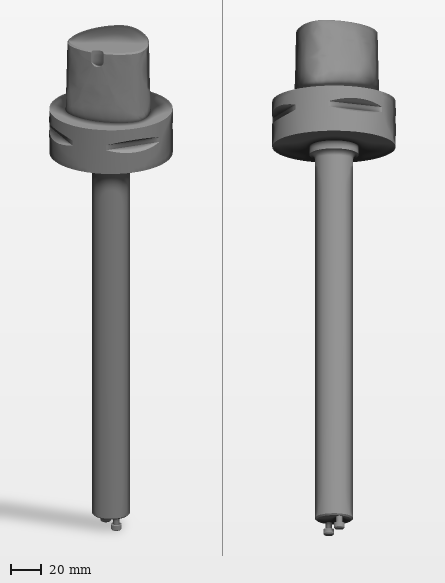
import cadquery as cq
import math

total_height = 336.0
shank_height = 47.7
flange_height = 30.2
collar_height = 5.5
bottom_z = shank_height - total_height
pin_projection = 8.0

flange_diameter = 80.0
collar_diameter = 32.0
bar_diameter = 25.0
neck_fillet = 3.0
bar_chamfer = 1.0

shank_base_radius = 27.5
shank_taper = 1 / 20
lobe_height = 2.0
shank_chamfer = 1.0
outline_points = 48

notch_floor_radius = 4.5
notch_wall_radius = 4.7
notch_axis_y = -26.2
notch_depth = 10.5

groove_count = 4
groove_drop = 12.0
groove_depth = 4.7
groove_floor_height = 3.5
groove_wall_angle = 30.0

pin_offset = 6.0
pin_neck_diameter = 4.0
pin_head_diameter = 7.0
pin_head_height = 3.7
pin_head_chamfer = 0.7


def turned_body():
    """Flange, collar and long bar as one revolved profile."""
    flange_bottom = -flange_height
    collar_bottom = flange_bottom - collar_height
    bar_bottom = bottom_z + pin_projection
    bar_radius = bar_diameter / 2
    flange_radius = flange_diameter / 2
    profile = (
        cq.Workplane("XZ")
        .moveTo(0, 0)
        .lineTo(flange_radius, 0)
        .lineTo(flange_radius, flange_bottom)
        .lineTo(collar_diameter / 2, flange_bottom)
        .lineTo(collar_diameter / 2, collar_bottom)
        .lineTo(bar_radius + neck_fillet, collar_bottom)
        .radiusArc((bar_radius, collar_bottom - neck_fillet), -neck_fillet)
        .lineTo(bar_radius, bar_bottom + bar_chamfer)
        .lineTo(bar_radius - bar_chamfer, bar_bottom)
        .lineTo(0, bar_bottom)
        .close()
    )
    return profile.revolve(360, (0, 0, 0), (0, 1, 0))


def lobed_outline(mean_radius):
    """Constant-width three-lobed curve with one lobe on +Y."""
    points = []
    for i in range(outline_points):
        angle = 2 * math.pi * i / outline_points
        lobe_angle = 3 * (angle - math.pi / 2)
        support = mean_radius + lobe_height * math.cos(lobe_angle)
        slope = -3 * lobe_height * math.sin(lobe_angle)
        x = support * math.cos(angle) - slope * math.sin(angle)
        y = support * math.sin(angle) + slope * math.cos(angle)
        points.append((x, y))
    return points


def lobed_section(z_bottom, radius_bottom, z_top, radius_top):
    """Ruled solid between two lobed outlines."""
    return (
        cq.Workplane("XY", origin=(0, 0, z_bottom))
        .spline(lobed_outline(radius_bottom), periodic=True)
        .close()
        .workplane(offset=z_top - z_bottom)
        .spline(lobed_outline(radius_top), periodic=True)
        .close()
        .loft(ruled=True)
    )


def shank():
    """Tapered shank with a chamfered top rim."""
    chamfer_z = shank_height - shank_chamfer
    rim_radius = shank_base_radius - chamfer_z * shank_taper / 2
    taper = lobed_section(0, shank_base_radius, chamfer_z, rim_radius)
    rim = lobed_section(chamfer_z, rim_radius, shank_height, rim_radius - shank_chamfer)
    return taper.union(rim)


def notch_cutter():
    """Round-bottomed slot along Y whose back wall is an upright cylinder."""
    floor_axis_z = shank_height - notch_depth + notch_floor_radius
    slot_floor = (
        cq.Workplane("XZ", origin=(0, 0, floor_axis_z))
        .circle(notch_floor_radius)
        .extrude(flange_diameter / 2)
    )
    slot_mouth = cq.Workplane("XY", origin=(0, 0, floor_axis_z)).box(
        2 * notch_floor_radius, flange_diameter, notch_depth, centered=(True, True, False)
    )
    back_wall = (
        cq.Workplane("XY", origin=(0, notch_axis_y, shank_height - notch_depth))
        .circle(notch_wall_radius)
        .extrude(notch_depth)
    )
    return slot_floor.union(slot_mouth).intersect(back_wall)


def groove_cutter(direction):
    """Straight trapezoidal groove across the rim, facing the given direction in degrees."""
    outer = flange_diameter / 2
    inner = outer - groove_depth
    floor_half = groove_floor_height / 2
    mouth_half = floor_half + groove_depth * math.tan(math.radians(groove_wall_angle))
    return (
        cq.Workplane("XZ", origin=(0, 0, -groove_drop))
        .polyline([(inner, -floor_half), (outer, -mouth_half), (outer, mouth_half), (inner, floor_half)])
        .close()
        .extrude(flange_diameter / 2, both=True)
        .rotate((0, 0, 0), (0, 0, 1), direction)
    )


def drive_pin(x, y):
    """Headed pin hanging from the end face of the bar."""
    neck = (
        cq.Workplane("XY", origin=(x, y, bottom_z + pin_head_height))
        .circle(pin_neck_diameter / 2)
        .extrude(pin_projection - pin_head_height)
    )
    head = (
        cq.Workplane("XY", origin=(x, y, bottom_z))
        .circle(pin_head_diameter / 2)
        .extrude(pin_head_height)
        .faces("<Z")
        .chamfer(pin_head_chamfer)
    )
    return neck.union(head)


result = turned_body().union(shank()).cut(notch_cutter())

for i in range(groove_count):
    result = result.cut(groove_cutter((i + 0.5) * 360 / groove_count))

for side in (-1, 1):
    result = result.union(drive_pin(side * pin_offset, -side * pin_offset))